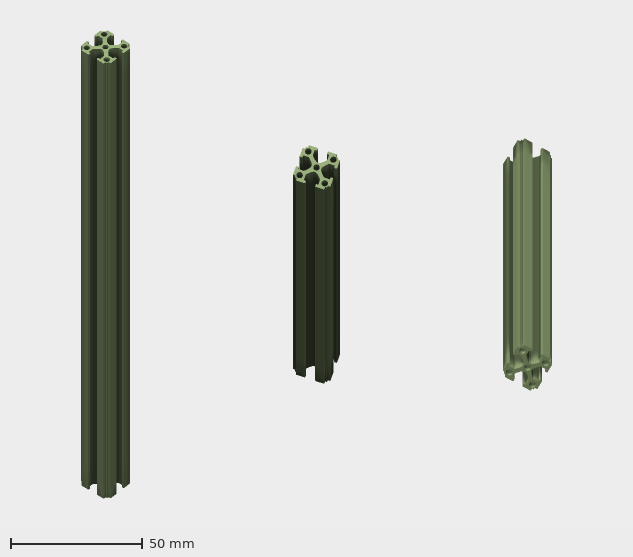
import cadquery as cq

length = 225.0
width = 15.0
half = width / 2

opening_half = 1.98
lip_thickness = 1.15
lip_bevel = 0.2
cavity_half = 3.0

arm_offset = 1.17
flank_start = 1.53
floor_half = 0.5
floor_distance = 2.0

groove_reach = 1.9
groove_floor_reach = 1.75
groove_depth = 1.1
rib_setback = 1.01

bore_diameter = 2.5
corner_bore_inset = 2.5


def half_side_outline():
    """Points from the middle of a slot floor to the corner groove, for the right half of the +Y side."""
    lip_inside = half - lip_thickness
    return [
        (floor_half, floor_distance),
        (flank_start, flank_start + arm_offset),
        (cavity_half, cavity_half + arm_offset),
        (cavity_half, lip_inside),
        (opening_half + lip_bevel, lip_inside),
        (opening_half, lip_inside + lip_bevel),
        (opening_half, half - lip_bevel),
        (opening_half + lip_bevel, half),
        (half - groove_reach, half),
        (half - groove_floor_reach, half - groove_depth),
    ]


def bar_outline():
    """Closed outline: one quarter, mirrored about its diagonal, repeated around the axis."""
    side = half_side_outline()
    rib_tip = (half - rib_setback, half - rib_setback)
    mirrored_side = [(y, x) for x, y in reversed(side)]
    quarter = side + [rib_tip] + mirrored_side
    outline = []
    for _ in range(4):
        outline += quarter
        quarter = [(y, -x) for x, y in quarter]
    return outline


bar = cq.Workplane("XY").polyline(bar_outline()).close().extrude(length)

corner_pitch = 2 * (half - corner_bore_inset)
corner_points = cq.Workplane("XY").rect(corner_pitch, corner_pitch, forConstruction=True).vertices()
corner_bores = corner_points.circle(bore_diameter / 2).extrude(length)
center_bore = cq.Workplane("XY").circle(bore_diameter / 2).extrude(length)

result = bar.cut(center_bore).cut(corner_bores)